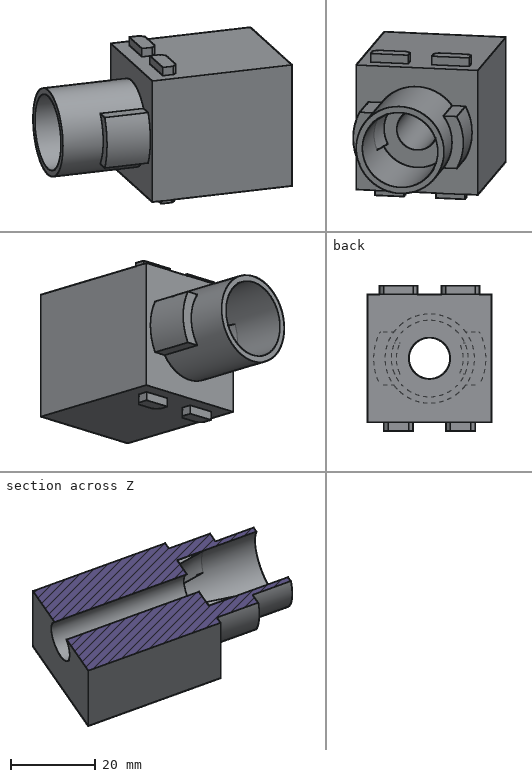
import cadquery as cq

TOTAL_LENGTH = 56.2
TUBE_LENGTH = 21.0
BLOCK_WIDTH = 29.4
BLOCK_LENGTH = TOTAL_LENGTH - TUBE_LENGTH
TAB_HEIGHT = 2.1
BLOCK_HEIGHT = 34.5 - 2 * TAB_HEIGHT

TUBE_DIAMETER = 21.2
BORE_DIAMETER = 18.2
THROUGH_HOLE_DIAMETER = 9.7

LUG_DIAMETER = 26.65
LUG_LENGTH = 10.9
LUG_HEIGHT = 12.65

RIB_INNER_DIAMETER = 15.85
RIB_LENGTH = 6.75
RIB_HEIGHT = 7.4

TAB_SPACING = 14.7
TAB_LENGTH = 3.65
TAB_SETBACK = 3.65
TAB_CHAMFER = 1.0
TOP_TAB_WIDTH = 9.05
BOTTOM_TAB_WIDTH = 6.95


def cylinder(diameter, length, start=0.0):
    """Cylinder on the tube axis, running from Y = start towards -Y."""
    return cq.Workplane("XZ", origin=(0, start, 0)).circle(diameter / 2).extrude(length)


def band(height, length):
    """Horizontal slab across the axis, in front of the block."""
    return cq.Workplane("XY").box(BLOCK_WIDTH, length, height).translate((0, -length / 2, 0))


def make_block():
    return cq.Workplane("XY").box(BLOCK_WIDTH, BLOCK_LENGTH, BLOCK_HEIGHT).translate((0, BLOCK_LENGTH / 2, 0))


def make_lugs():
    return cylinder(LUG_DIAMETER, LUG_LENGTH).intersect(band(LUG_HEIGHT, LUG_LENGTH))


def make_ribs():
    """Pair of ribs at +X and -X whose inner face is a cone widening towards the tube mouth."""
    wall_radius = BORE_DIAMETER / 2
    embedded_radius = (BORE_DIAMETER + TUBE_DIAMETER) / 4
    ring = (
        cq.Workplane("XY")
        .moveTo(RIB_INNER_DIAMETER / 2, 0)
        .lineTo(embedded_radius, 0)
        .lineTo(embedded_radius, -RIB_LENGTH)
        .lineTo(wall_radius, -RIB_LENGTH)
        .close()
        .revolve(360, (0, 0, 0), (0, 1, 0))
    )
    return ring.intersect(band(RIB_HEIGHT, RIB_LENGTH))


def make_tabs(width, base_z):
    """Pair of tabs with chamfered rear corners, standing up from base_z."""
    return (
        cq.Workplane("XY", origin=(0, TAB_SETBACK + TAB_LENGTH / 2, base_z))
        .pushPoints([(-TAB_SPACING / 2, 0), (TAB_SPACING / 2, 0)])
        .rect(width, TAB_LENGTH)
        .extrude(TAB_HEIGHT)
        .faces(">Y")
        .edges("|Z")
        .chamfer(TAB_CHAMFER)
    )


body = make_block().union(cylinder(TUBE_DIAMETER, TUBE_LENGTH)).union(make_lugs())
body = body.cut(cylinder(BORE_DIAMETER, TUBE_LENGTH)).union(make_ribs())
body = body.cut(cylinder(THROUGH_HOLE_DIAMETER, BLOCK_LENGTH, BLOCK_LENGTH))

top_tabs = make_tabs(TOP_TAB_WIDTH, BLOCK_HEIGHT / 2)
bottom_tabs = make_tabs(BOTTOM_TAB_WIDTH, -BLOCK_HEIGHT / 2 - TAB_HEIGHT)
result = body.union(top_tabs).union(bottom_tabs)